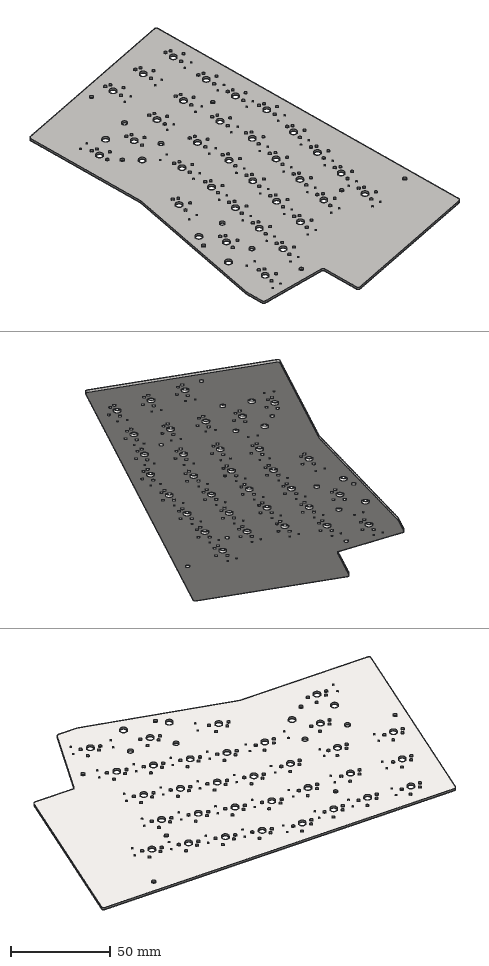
import cadquery as cq
import math


BOARD_WIDTH = 197.5
BOARD_DEPTH = 119.6
BOARD_THICKNESS = 1.6
LEFT_SIDE_LENGTH = 102.0
RIGHT_SIDE_LENGTH = 82.0
FRONT_EDGE_LENGTH = 72.5
FRONT_RIGHT_CORNER_X = 166.5
CORNER_RADIUS = 1.2
SPLAY_ANGLE = 12.0

KEY_PITCH = 38.1 / 2
GRID = KEY_PITCH / 15
CENTER_HOLE_DIAMETER = 4.0
SIDE_HOLE_DIAMETER = 1.7
SIDE_HOLE_POINTS = [(-4 * GRID, 0), (4 * GRID, 0)]
PIN_HOLE_DIAMETER = 1.5
PIN_HOLE_POINTS = [(-3 * GRID, 2 * GRID), (2 * GRID, 4 * GRID)]

DIODE_HOLE_DIAMETER = 0.8
DIODE_HALF_SPACING = 2 * GRID
SPLAYED_DIODE_OFFSET = 9.5
SPLAYED_DIODE_SHIFT = -0.3

STABILIZER_HALF_SPACING = 11.8
STABILIZER_REAR_DIAMETER = 3.0
STABILIZER_REAR_OFFSET = 7.0
STABILIZER_FRONT_DIAMETER = 4.0
STABILIZER_FRONT_OFFSET = -8.3

SCREW_HOLE_DIAMETER = 2.2
SCREW_POINTS = [
    (166.0, -6.0),
    (56.0, -23.9),
    (146.5, -32.4),
    (6.1, -59.5),
    (46.5, -84.9),
    (166.2, -89.2),
    (117.3, -107.2),
]

STRAIGHT_FIRST_ROW_Y = -13.2
STRAIGHT_KEYS = [
    (0, 43.2, 9.5),
    (0, 62.2, 9.3),
    (1, 43.8, 9.9),
    (1, 67.5, 9.5),
    (2, 42.0, 8.7),
    (2, 68.3, 9.7),
    (3, 73.6, 9.5),
    (4, 35.5, -10.3),
]
RAISED_ROW_SHIFT = 2.2
RAISED_KEYS = [
    (0, 20.1, 9.5),
    (0, 80.7, 9.5),
    (1, 16.0, 9.9),
    (2, 11.8, 9.5),
]
STRAIGHT_WIDE_KEY = (3, 42.6, 19.0)

SPLAYED_ORIGIN = (101.3, -15.0)
SPLAYED_KEYS_PER_ROW = 4
SPLAYED_ROW_STAGGER = [0, -0.5, -0.25, 0.25]
SPLAYED_BOTTOM_Y = -4 * KEY_PITCH
SPLAYED_BOTTOM_KEYS = [
    (4.1, -77.8, 11.5),
    (71.0, SPLAYED_BOTTOM_Y, SPLAYED_DIODE_OFFSET),
]
SPLAYED_WIDE_KEY = (40.0, SPLAYED_BOTTOM_Y, 19.7)


def place(point, center, angle):
    """Turn a point by an angle in degrees and move it to a center."""
    cosine = math.cos(math.radians(angle))
    sine = math.sin(math.radians(angle))
    x = center[0] + point[0] * cosine - point[1] * sine
    y = center[1] + point[0] * sine + point[1] * cosine
    return (x, y)


def make_board():
    """Plain board with rounded corners."""
    slope = math.tan(math.radians(SPLAY_ANGLE))
    slant_end_x = FRONT_EDGE_LENGTH + (BOARD_DEPTH - LEFT_SIDE_LENGTH) / slope
    notch_x = FRONT_RIGHT_CORNER_X + (BOARD_DEPTH - RIGHT_SIDE_LENGTH) * slope
    rounded_corners = [
        (0, 0),
        (BOARD_WIDTH, 0),
        (BOARD_WIDTH, -RIGHT_SIDE_LENGTH),
        (notch_x, -RIGHT_SIDE_LENGTH),
        (FRONT_RIGHT_CORNER_X, -BOARD_DEPTH),
    ]
    slant_corners = [(slant_end_x, -BOARD_DEPTH), (FRONT_EDGE_LENGTH, -LEFT_SIDE_LENGTH)]
    left_front_corner = (0, -LEFT_SIDE_LENGTH)
    outline = rounded_corners + slant_corners + [left_front_corner]
    board = cq.Workplane("XY").polyline(outline).close().extrude(BOARD_THICKNESS)
    for x, y in rounded_corners + [left_front_corner]:
        corner = cq.selectors.NearestToPointSelector((x, y, BOARD_THICKNESS / 2))
        board = board.edges("|Z").edges(corner).fillet(CORNER_RADIUS)
    return board


def list_keys():
    """All keys as (switch center, angle, diode point), and the wide keys among them."""
    keys = []

    def straight_key(row, x, diode_offset, shift=0):
        return ((x, STRAIGHT_FIRST_ROW_Y - row * KEY_PITCH + shift), 0, (diode_offset, 0))

    def splayed_key(along, across, diode_offset):
        center = place((along, across), SPLAYED_ORIGIN, -SPLAY_ANGLE)
        return (center, -SPLAY_ANGLE, (diode_offset, SPLAYED_DIODE_SHIFT))

    for key in STRAIGHT_KEYS:
        keys.append(straight_key(*key))
    for key in RAISED_KEYS:
        keys.append(straight_key(*key, shift=RAISED_ROW_SHIFT))
    for row, stagger in enumerate(SPLAYED_ROW_STAGGER):
        for column in range(SPLAYED_KEYS_PER_ROW):
            along = (stagger + column) * KEY_PITCH
            keys.append(splayed_key(along, -row * KEY_PITCH, SPLAYED_DIODE_OFFSET))
    for key in SPLAYED_BOTTOM_KEYS:
        keys.append(splayed_key(*key))
    wide_keys = [straight_key(*STRAIGHT_WIDE_KEY), splayed_key(*SPLAYED_WIDE_KEY)]
    return keys + wide_keys, wide_keys


def key_holes(center, angle, diode_point):
    """Switch and diode holes of one key, as (diameter, point)."""
    holes = [(CENTER_HOLE_DIAMETER, (0, 0))]
    holes += [(SIDE_HOLE_DIAMETER, point) for point in SIDE_HOLE_POINTS]
    holes += [(PIN_HOLE_DIAMETER, point) for point in PIN_HOLE_POINTS]
    diode_x, diode_y = diode_point
    for y in (diode_y - DIODE_HALF_SPACING, diode_y + DIODE_HALF_SPACING):
        holes.append((DIODE_HOLE_DIAMETER, (diode_x, y)))
    return [(diameter, place(point, center, angle)) for diameter, point in holes]


def stabilizer_holes(center, angle):
    """The four stabilizer holes of a wide key, as (diameter, point)."""
    holes = []
    for x in (-STABILIZER_HALF_SPACING, STABILIZER_HALF_SPACING):
        holes.append((STABILIZER_REAR_DIAMETER, (x, STABILIZER_REAR_OFFSET)))
        holes.append((STABILIZER_FRONT_DIAMETER, (x, STABILIZER_FRONT_OFFSET)))
    return [(diameter, place(point, center, angle)) for diameter, point in holes]


def list_holes():
    """All through holes of the board, as (diameter, point)."""
    keys, wide_keys = list_keys()
    holes = [(SCREW_HOLE_DIAMETER, point) for point in SCREW_POINTS]
    for center, angle, diode_point in keys:
        holes += key_holes(center, angle, diode_point)
    for center, angle, _ in wide_keys:
        holes += stabilizer_holes(center, angle)
    return holes


def drill(board, holes):
    """Cut all holes through the board, one diameter at a time."""
    for diameter in sorted({diameter for diameter, _ in holes}):
        points = [point for hole_diameter, point in holes if hole_diameter == diameter]
        drills = cq.Workplane("XY").pushPoints(points).circle(diameter / 2).extrude(BOARD_THICKNESS)
        board = board.cut(drills)
    return board


result = drill(make_board(), list_holes())